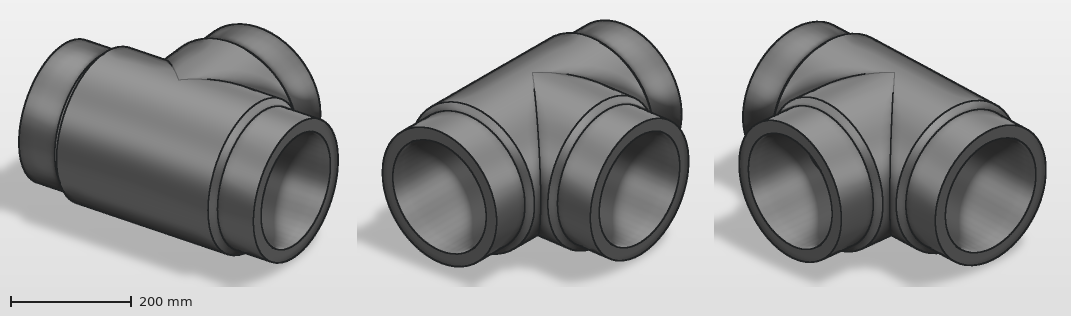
import cadquery as cq

run_length = 470.0
arm_length = run_length / 2
body_diameter = 272.5
spigot_diameter = 250.0
bore_diameter = 204.5
spigot_length = 72.0

taper_length = (body_diameter - spigot_diameter) / 2
body_reach = arm_length - spigot_length


def cylinder(diameter, length):
    """Cylinder from the tee centre along +Y."""
    return cq.Workplane("XZ").circle(diameter / 2).extrude(-length)


def arm():
    """Solid arm along +Y: body with a tapered shoulder, then the spigot."""
    body = cylinder(body_diameter, body_reach).faces(">Y").chamfer(taper_length)
    return body.union(cylinder(spigot_diameter, arm_length))


def tee(branch):
    """Join three copies of a +Y branch: one as the branch, two turned to form the run."""
    joined = branch
    for angle in (90, -90):
        joined = joined.union(branch.rotate((0, 0, 0), (0, 0, 1), angle))
    return joined


outside = tee(arm())
passages = tee(cylinder(bore_diameter, arm_length))

result = outside.cut(passages).clean()